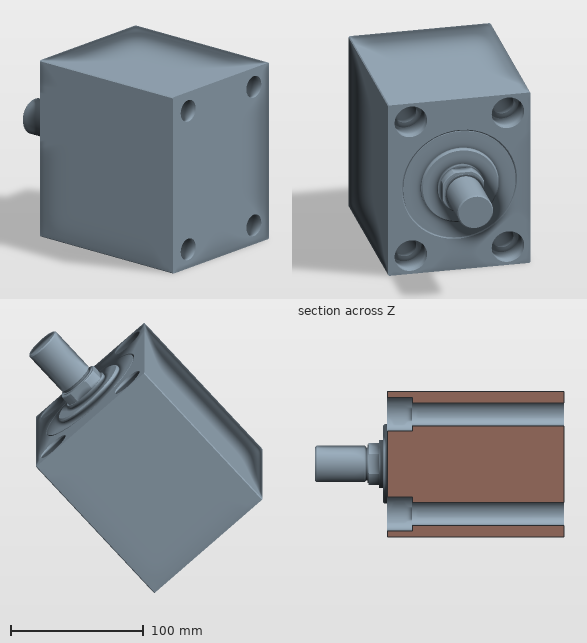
import cadquery as cq


TOTAL_LENGTH = 187.0
BLOCK_LENGTH = 133.0
BLOCK_WIDTH = 110.0
BLOCK_HEIGHT = 140.0
BLOCK_EDGE_CHAMFER = 0.7
BLOCK_FACE_X = TOTAL_LENGTH - BLOCK_LENGTH

HOLE_PITCH_Y = 75.0
HOLE_PITCH_Z = 110.0
HOLE_DIAMETER = 17.0
COUNTERBORE_DIAMETER = 25.0
COUNTERBORE_DEPTH = 18.7

GLAND_DIAMETER = 87.0
GLAND_DEPTH = 18.7
GLAND_SEAT_CHAMFER = 1.1
BOSS_DIAMETER = 60.0
BOSS_HEIGHT = 3.0
BOSS_CHAMFER = 1.1
BOSS_FACE_X = BLOCK_FACE_X - BOSS_HEIGHT
GLAND_END_X = BLOCK_FACE_X + GLAND_DEPTH

WIPER_DIAMETER = 38.9
WIPER_LENGTH = 5.6

ROD_DIAMETER = 36.0
ROD_SHOULDER_X = 48.0
THREAD_DIAMETER = 27.5
THREAD_LENGTH = 38.1
THREAD_CHAMFER = 1.0
UNDERCUT_DIAMETER = 24.9
COLLAR_DIAMETER = 29.0
COLLAR_START_X = 39.5
WRENCH_START_X = 40.0
WRENCH_DIAMETER = 34.8
WRENCH_CHAMFER = 0.5
WRENCH_FLATS = 31.5


def cylinder(diameter, start_x, end_x):
    """Solid cylinder on the X axis between two stations."""
    return cq.Workplane("YZ", origin=(start_x, 0, 0)).circle(diameter / 2).extrude(end_x - start_x)


def make_block():
    """Chamfered block with a gland seat and four counterbored mounting holes."""
    block = (
        cq.Workplane("YZ", origin=(BLOCK_FACE_X, 0, 0))
        .rect(BLOCK_WIDTH, BLOCK_HEIGHT)
        .extrude(BLOCK_LENGTH)
        .edges("|X")
        .chamfer(BLOCK_EDGE_CHAMFER)
    )
    block = (
        block.faces("<X")
        .workplane(centerOption="CenterOfBoundBox")
        .rarray(HOLE_PITCH_Y, HOLE_PITCH_Z, 2, 2)
        .cboreHole(HOLE_DIAMETER, COUNTERBORE_DIAMETER, COUNTERBORE_DEPTH)
    )
    block = block.cut(cylinder(GLAND_DIAMETER, BLOCK_FACE_X, GLAND_END_X))
    seat_rim = cq.selectors.RadiusNthSelector(-1)
    return block.faces("<X").edges("%CIRCLE").edges(seat_rim).chamfer(GLAND_SEAT_CHAMFER)


def make_gland():
    """Flanged bush that carries the rod and holds the wiper ring."""
    boss = cylinder(BOSS_DIAMETER, BOSS_FACE_X, BLOCK_FACE_X).faces("<X").chamfer(BOSS_CHAMFER)
    gland = cylinder(GLAND_DIAMETER, BLOCK_FACE_X, GLAND_END_X).union(boss)
    gland = gland.cut(cylinder(ROD_DIAMETER, BOSS_FACE_X, GLAND_END_X))
    return gland.cut(cylinder(WIPER_DIAMETER, BOSS_FACE_X, BOSS_FACE_X + WIPER_LENGTH))


def make_wiper():
    """Ring that fills the groove between the rod and the gland."""
    wiper_end_x = BOSS_FACE_X + WIPER_LENGTH
    ring = cylinder(WIPER_DIAMETER, BOSS_FACE_X, wiper_end_x)
    return ring.cut(cylinder(ROD_DIAMETER, BOSS_FACE_X, wiper_end_x))


def make_thread():
    """Thread envelope, chamfered at both ends, followed by its undercut."""
    thread = cylinder(THREAD_DIAMETER, 0, THREAD_LENGTH).faces("<X or >X").chamfer(THREAD_CHAMFER)
    return thread.union(cylinder(UNDERCUT_DIAMETER, THREAD_LENGTH, COLLAR_START_X))


def make_wrench_section():
    """Chamfered round section with four wrench flats."""
    round_section = cylinder(WRENCH_DIAMETER, WRENCH_START_X, ROD_SHOULDER_X).faces("<X").chamfer(WRENCH_CHAMFER)
    square_bar = (
        cq.Workplane("YZ", origin=(WRENCH_START_X, 0, 0))
        .rect(WRENCH_FLATS, WRENCH_FLATS)
        .extrude(ROD_SHOULDER_X - WRENCH_START_X)
    )
    return round_section.intersect(square_bar)


def make_rod():
    """Rod with a threaded end, a thin collar and a wrench section ahead of the shank."""
    shank = cylinder(ROD_DIAMETER, ROD_SHOULDER_X, GLAND_END_X)
    collar = cylinder(COLLAR_DIAMETER, COLLAR_START_X, WRENCH_START_X)
    return shank.union(make_wrench_section()).union(collar).union(make_thread())


block = make_block()
gland = make_gland()
wiper = make_wiper()
rod = make_rod()

result = cq.Compound.makeCompound([block.val(), gland.val(), wiper.val(), rod.val()])